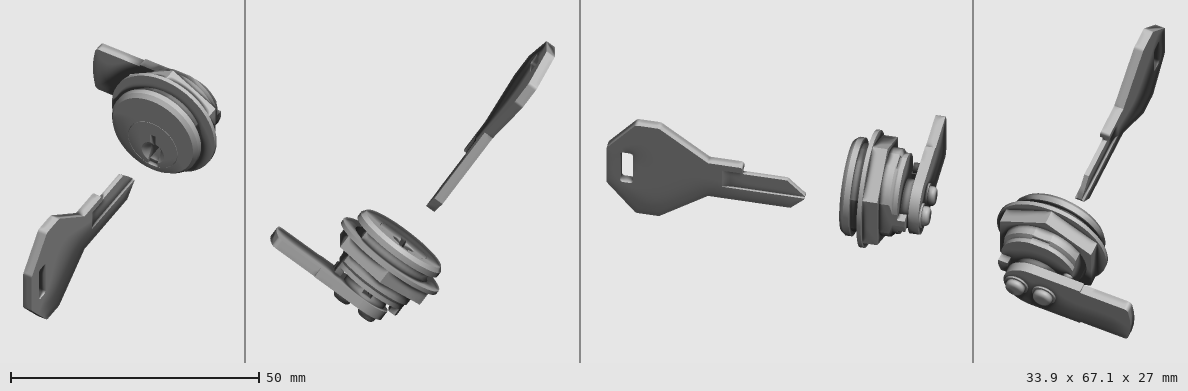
import cadquery as cq
import math


HEAD_RADIUS = 10.05
HEAD_DEPTH = 2.1
HEAD_CHAMFER_RADIAL = 0.7
HEAD_CHAMFER_AXIAL = 0.9
BODY_RADIUS = 9.0
BODY_END = 10.0
RING_RADIUS = 8.25
CONE_END = 10.6
RING_END = 11.6
LEFT_FLAT_X = -7.5
RIGHT_FLAT_X = 8.1
TOP_FLAT_Z = 8.8
NOTCH_HALF_WIDTH = math.sqrt(BODY_RADIUS**2 - TOP_FLAT_Z**2)
NOTCH_START = 10.2
NOTCH_FLOOR_Z = math.sqrt(RING_RADIUS**2 - NOTCH_HALF_WIDTH**2)
STOP_INNER_X = 6.05
STOP_END = 13.2
STOP_BOTTOM_Z = -math.sqrt(RING_RADIUS**2 - LEFT_FLAT_X**2)

FLANGE_RADIUS = 12.0
FLANGE_START = 4.1
FLANGE_END = 4.95
NUT_ACROSS_FLATS = 20.0
NUT_END = 8.0
NUT_SIDES = 6

PLUG_AXIS_Z = -2.5
PLUG_HEAD_RADIUS = 5.7
PLUG_HEAD_BORE_RADIUS = 5.75
PLUG_HEAD_DEPTH = 0.9
SPINDLE_RADIUS = 4.95
PLUG_END = 13.4
KEYWAY_DEPTH = 12.75
KEYWAY_WIDTH = 2.2
KEYWAY_STEP_Z = -4.2
KEYWAY_NARROW_WIDTH = 1.2
KEYWAY_TOP_Z = 0.0
MOUTH_RADIUS = 2.6
MOUTH_DEPTH = 2.2
MOUTH_Z = -4.7

CAM_THICKNESS = 2.1
CAM_END = PLUG_END + CAM_THICKNESS
CAM_REACH = 21.9
CAM_HALF_WIDTH = 5.5
CAM_CORNER_RADIUS = 1.0
HUB_RADIUS = 6.0
HUB_LENGTH = 10.85
PIN_RADIUS = 1.1
PIN_X = -6.65
PIN_Z = 1.2
PIN_START = 11.95

SCREW_OFFSET_X = 3.0
SCREW_POSITIONS_X = [-SCREW_OFFSET_X, SCREW_OFFSET_X]
SCREW_FLANGE_RADIUS = 2.55
SCREW_FLANGE_THICKNESS = 0.4
SCREW_HEAD_RADIUS = 2.0
SCREW_HEAD_HEIGHT = 1.5
SCREW_HEAD_ROUNDING = 0.9
SCREW_SHANK_RADIUS = 1.0
SCREW_SHANK_LENGTH = 4.7

KEY_THICKNESS = 2.0
KEY_AXIS_Z = -3.0
KEY_TIP_Y = -9.0
KEY_END_Y = -49.7
BOW_START_Y = -28.75
BOW_FRONT_Y = -38.8
BOW_REAR_Y = -43.65
BOW_HALF_HEIGHT = 12.0
BOW_END_HALF_HEIGHT = 4.6
BOW_ROUNDING = 1.0
KEY_SHANK_HALF_HEIGHT = 4.5
SHOULDER_Y = -21.7
SHOULDER_ROUNDING = 0.55
BLADE_TOP_Z = -0.6
TIP_UPPER_Z = -4.2
TIP_LOWER_Z = -4.7
BLADE_THICKNESS = 1.0
RELIEF_TOP_Z = 0.0
RELIEF_BOTTOM_Z = -4.4
RELIEF_FLAT_END_Y = -23.75
RELIEF_END_Y = -25.9
KEY_SLOT_WIDTH = 2.7
KEY_SLOT_HEIGHT = 8.1
KEY_SLOT_Y = -45.5
KEY_SLOT_ROUNDING = 0.7

REACH = 26.8


def disc(radius, y_start, y_end, x=0.0, z=0.0):
    """Round disc along Y between two depths."""
    plane = cq.Workplane("XZ", origin=(x, y_start, z))
    return plane.circle(radius).extrude(y_start - y_end)


def block(x_min, x_max, y_min, y_max, z_min, z_max):
    """Rectangular block given by its limits."""
    size = (x_max - x_min, y_max - y_min, z_max - z_min)
    return cq.Workplane("XY").box(*size, centered=False).translate((x_min, y_min, z_min))


def revolve_about_y(points):
    """Turned shape from a closed outline of (radius, y) points."""
    return cq.Workplane("XY").polyline(points).close().revolve(360, (0, 0, 0), (0, 1, 0))


def make_housing():
    """Round front head and a flatted body, bored through for the plug."""
    head = revolve_about_y([
        (0, 0),
        (HEAD_RADIUS - HEAD_CHAMFER_RADIAL, 0),
        (HEAD_RADIUS, HEAD_CHAMFER_AXIAL),
        (HEAD_RADIUS, HEAD_DEPTH),
        (0, HEAD_DEPTH),
    ])
    body = revolve_about_y([
        (0, HEAD_DEPTH),
        (BODY_RADIUS, HEAD_DEPTH),
        (BODY_RADIUS, BODY_END),
        (RING_RADIUS, CONE_END),
        (RING_RADIUS, RING_END),
        (0, RING_END),
    ])
    notch = block(-NOTCH_HALF_WIDTH, NOTCH_HALF_WIDTH, NOTCH_START, REACH, NOTCH_FLOOR_Z, REACH)

    stops = disc(RING_RADIUS, RING_END, STOP_END)
    stops = stops.intersect(block(-REACH, REACH, 0, REACH, STOP_BOTTOM_Z, 0))
    stops = stops.cut(block(-STOP_INNER_X, STOP_INNER_X, 0, REACH, -REACH, REACH))

    flats = block(LEFT_FLAT_X, RIGHT_FLAT_X, 0, REACH, -REACH, TOP_FLAT_Z)
    body = body.cut(notch).union(stops).intersect(flats)

    head_bore = disc(PLUG_HEAD_BORE_RADIUS, 0, PLUG_HEAD_DEPTH, z=PLUG_AXIS_Z)
    spindle_bore = disc(SPINDLE_RADIUS, PLUG_HEAD_DEPTH, RING_END, z=PLUG_AXIS_Z)
    return head.union(body).cut(head_bore).cut(spindle_bore)


def make_nut():
    """Hexagon nut with a round flange at its front, screwed onto the housing's body."""
    flange = disc(FLANGE_RADIUS, FLANGE_START, FLANGE_END)
    corner_diameter = NUT_ACROSS_FLATS / math.cos(math.pi / NUT_SIDES)
    hexagon = (
        cq.Workplane("XZ", origin=(0, FLANGE_END, 0))
        .transformed(rotate=(0, 0, 180 / NUT_SIDES))
        .polygon(NUT_SIDES, corner_diameter)
        .extrude(FLANGE_END - NUT_END)
    )
    return flange.union(hexagon).cut(disc(BODY_RADIUS, FLANGE_START, NUT_END))


def make_plug():
    """Turning core: a thin front head with a little play in its bore, and a long spindle."""
    plug = disc(PLUG_HEAD_RADIUS, 0, PLUG_HEAD_DEPTH, z=PLUG_AXIS_Z)
    plug = plug.union(disc(SPINDLE_RADIUS, PLUG_HEAD_DEPTH, PLUG_END, z=PLUG_AXIS_Z))

    wide = KEYWAY_WIDTH / 2
    narrow = KEYWAY_NARROW_WIDTH / 2
    plug = plug.cut(block(-wide, wide, 0, KEYWAY_DEPTH, -REACH, KEYWAY_STEP_Z))
    plug = plug.cut(block(-narrow, narrow, 0, KEYWAY_DEPTH, KEYWAY_STEP_Z, KEYWAY_TOP_Z))
    mouth = revolve_about_y([(0, 0), (MOUTH_RADIUS, 0), (0, MOUTH_DEPTH)])
    plug = plug.cut(mouth.translate((0, 0, MOUTH_Z)))

    for x in SCREW_POSITIONS_X:
        plug = plug.cut(disc(SCREW_SHANK_RADIUS, CAM_END - SCREW_SHANK_LENGTH, PLUG_END, x, PLUG_AXIS_Z))
    return plug


def make_cam():
    """Locking arm with a wider hub around the plug axis and a stop pin at its front."""
    arm = disc(CAM_REACH, PLUG_END, CAM_END).intersect(
        block(-REACH, 0, 0, REACH, -CAM_HALF_WIDTH, CAM_HALF_WIDTH)
    )
    arm = arm.edges("|Y and (not >X)").fillet(CAM_CORNER_RADIUS)
    hub = disc(HUB_RADIUS, PLUG_END, CAM_END)
    hub = hub.union(block(-HUB_LENGTH, 0, PLUG_END, CAM_END, -HUB_RADIUS, HUB_RADIUS))
    cam = arm.union(hub).translate((0, 0, PLUG_AXIS_Z))
    cam = cam.union(disc(PIN_RADIUS, PIN_START, PLUG_END, PIN_X, PIN_Z))
    for x in SCREW_POSITIONS_X:
        cam = cam.cut(disc(SCREW_SHANK_RADIUS, PLUG_END, CAM_END, x, PLUG_AXIS_Z))
    return cam


def make_screw(x):
    """Domed screw with a washer-like flange, holding the cam to the plug."""
    flange_end = CAM_END + SCREW_FLANGE_THICKNESS
    head = disc(SCREW_HEAD_RADIUS, flange_end, flange_end + SCREW_HEAD_HEIGHT, x, PLUG_AXIS_Z)
    head = head.faces(">Y").edges().fillet(SCREW_HEAD_ROUNDING)
    flange = disc(SCREW_FLANGE_RADIUS, CAM_END, flange_end, x, PLUG_AXIS_Z)
    shank = disc(SCREW_SHANK_RADIUS, CAM_END - SCREW_SHANK_LENGTH, CAM_END, x, PLUG_AXIS_Z)
    return head.union(flange).union(shank)


def make_key_bow():
    """Grip of the key, with its outer corners rounded and a slot for a ring."""
    bow = (
        cq.Workplane("YZ", origin=(-KEY_THICKNESS / 2, 0, KEY_AXIS_Z))
        .moveTo(BOW_START_Y, -KEY_SHANK_HALF_HEIGHT)
        .lineTo(BOW_FRONT_Y, -BOW_HALF_HEIGHT)
        .lineTo(BOW_REAR_Y, -BOW_HALF_HEIGHT)
        .lineTo(KEY_END_Y, -BOW_END_HALF_HEIGHT)
        .lineTo(KEY_END_Y, BOW_END_HALF_HEIGHT)
        .lineTo(BOW_REAR_Y, BOW_HALF_HEIGHT)
        .lineTo(BOW_FRONT_Y, BOW_HALF_HEIGHT)
        .lineTo(BOW_START_Y, KEY_SHANK_HALF_HEIGHT)
        .close()
        .extrude(KEY_THICKNESS)
    )
    bow = bow.edges("|X and (not >Y)").fillet(BOW_ROUNDING)
    slot = (
        cq.Workplane("YZ", origin=(-KEY_THICKNESS / 2, KEY_SLOT_Y, KEY_AXIS_Z))
        .rect(KEY_SLOT_WIDTH, KEY_SLOT_HEIGHT)
        .extrude(KEY_THICKNESS)
        .edges("|X")
        .fillet(KEY_SLOT_ROUNDING)
    )
    return bow.cut(slot)


def make_key_blade():
    """Pointed blade with a shoulder; both sides are relieved along its upper part."""
    blade_bottom = KEY_AXIS_Z - KEY_SHANK_HALF_HEIGHT
    shoulder_top = KEY_AXIS_Z + KEY_SHANK_HALF_HEIGHT
    blade = (
        cq.Workplane("YZ", origin=(-KEY_THICKNESS / 2, 0, 0))
        .moveTo(BOW_START_Y, blade_bottom)
        .lineTo(KEY_TIP_Y - (TIP_LOWER_Z - blade_bottom), blade_bottom)
        .lineTo(KEY_TIP_Y, TIP_LOWER_Z)
        .lineTo(KEY_TIP_Y, TIP_UPPER_Z)
        .lineTo(KEY_TIP_Y - (BLADE_TOP_Z - TIP_UPPER_Z), BLADE_TOP_Z)
        .lineTo(SHOULDER_Y, BLADE_TOP_Z)
        .lineTo(SHOULDER_Y, shoulder_top - SHOULDER_ROUNDING)
        .radiusArc((SHOULDER_Y - SHOULDER_ROUNDING, shoulder_top), -SHOULDER_ROUNDING)
        .lineTo(BOW_START_Y, shoulder_top)
        .close()
        .extrude(KEY_THICKNESS)
    )

    floor_x = BLADE_THICKNESS / 2
    side_x = KEY_THICKNESS / 2
    depth = side_x - floor_x
    run_out = RELIEF_FLAT_END_Y - RELIEF_END_Y
    run_out_radius = (run_out**2 + depth**2) / (2 * depth)
    half_angle = math.atan2(run_out, run_out_radius - depth) / 2
    arc_middle = (
        floor_x + run_out_radius * (1 - math.cos(half_angle)),
        RELIEF_FLAT_END_Y - run_out_radius * math.sin(half_angle),
    )
    relief = (
        cq.Workplane("XY", origin=(0, 0, RELIEF_BOTTOM_Z))
        .moveTo(floor_x, KEY_TIP_Y)
        .lineTo(floor_x, RELIEF_FLAT_END_Y)
        .threePointArc(arc_middle, (side_x, RELIEF_END_Y))
        .lineTo(side_x, KEY_TIP_Y)
        .close()
        .extrude(RELIEF_TOP_Z - RELIEF_BOTTOM_Z)
    )
    return blade.cut(relief).cut(relief.mirror("YZ"))


def make_key():
    """Whole key: grip and blade in one piece."""
    return make_key_bow().union(make_key_blade())


housing = make_housing()
nut = make_nut()
plug = make_plug()
cam = make_cam()
screws = [make_screw(x) for x in SCREW_POSITIONS_X]
key = make_key()

result = cq.Compound.makeCompound([
    housing.val(),
    nut.val(),
    plug.val(),
    cam.val(),
    *[screw.val() for screw in screws],
    key.val(),
])